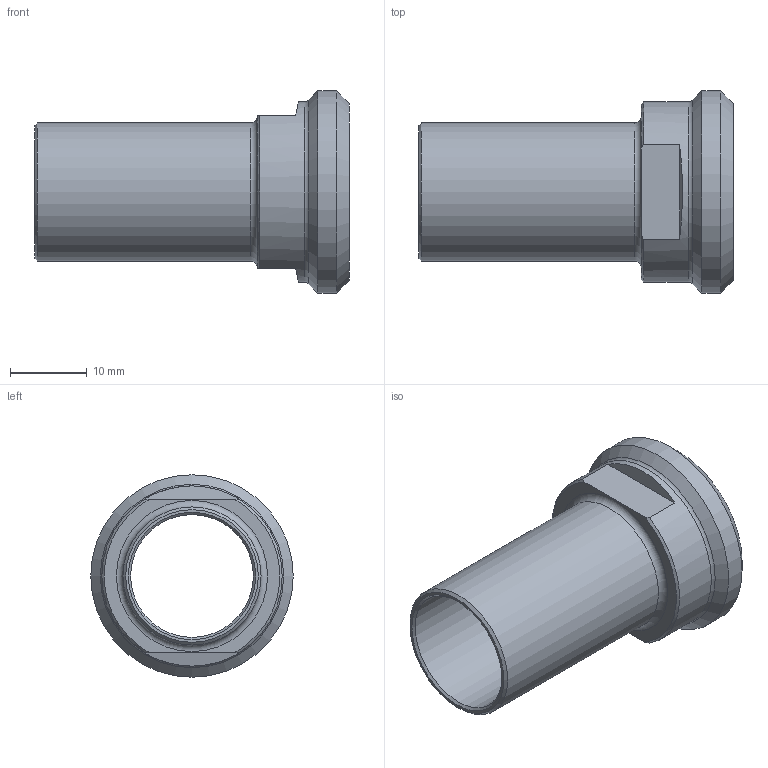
import cadquery as cq
import math

total_length = 41.0
bore_radius = 16.0 / 2
tube_radius = 18.0 / 2
neck_radius = 23.5 / 2
flange_radius = 26.4 / 2

tube_chamfer = 0.35
bore_chamfer = 0.3

neck_start = 29.0
neck_chamfer = 0.3
root_fillet = 0.85
flats_width = 20.0
flat_end = 34.0
flat_runout_angle = 12.0

cone_angle = 45.0
front_cone_end = 36.9
rear_cone_start = 39.35
neck_fillet = 0.7

cone_slope = math.tan(math.radians(cone_angle))
face_radius = flange_radius - (total_length - rear_cone_start) * cone_slope
cone_foot = front_cone_end - (flange_radius - neck_radius) / cone_slope


def bend_point(start_x, start_radius, bend_radius, angle):
    """Point on an outward bend that leaves a cylinder and has turned by angle degrees."""
    turned = math.radians(angle)
    return (
        start_x + bend_radius * math.sin(turned),
        start_radius + bend_radius * (1 - math.cos(turned)),
    )


def turned_body():
    """Revolve the outer and inner profile about the X axis."""
    quarter_turn = 90.0
    root_start = neck_start - root_fillet
    root_mid = bend_point(root_start, tube_radius, root_fillet, quarter_turn / 2)
    root_end = bend_point(root_start, tube_radius, root_fillet, quarter_turn)

    blend_start = cone_foot - neck_fillet * math.tan(math.radians(cone_angle / 2))
    blend_mid = bend_point(blend_start, neck_radius, neck_fillet, cone_angle / 2)
    blend_end = bend_point(blend_start, neck_radius, neck_fillet, cone_angle)

    profile = (
        cq.Workplane("XY")
        .moveTo(0, bore_radius + bore_chamfer)
        .lineTo(0, tube_radius - tube_chamfer)
        .lineTo(tube_chamfer, tube_radius)
        .lineTo(root_start, tube_radius)
        .threePointArc(root_mid, root_end)
        .lineTo(neck_start, neck_radius - neck_chamfer)
        .lineTo(neck_start + neck_chamfer, neck_radius)
        .lineTo(blend_start, neck_radius)
        .threePointArc(blend_mid, blend_end)
        .lineTo(front_cone_end, flange_radius)
        .lineTo(rear_cone_start, flange_radius)
        .lineTo(total_length, face_radius)
        .lineTo(total_length, bore_radius)
        .lineTo(bore_chamfer, bore_radius)
        .close()
    )
    return profile.revolve(360, (0, 0, 0), (1, 0, 0))


def flat_cutter(side):
    """Material removed for the wrench flat on the +Z (1) or -Z (-1) side."""
    flat_height = flats_width / 2
    runout = (flange_radius - flat_height) * math.tan(math.radians(flat_runout_angle))
    cutter_start = neck_start - root_fillet
    return (
        cq.Workplane("XZ")
        .moveTo(cutter_start, side * flat_height)
        .lineTo(flat_end, side * flat_height)
        .lineTo(flat_end + runout, side * flange_radius)
        .lineTo(cutter_start, side * flange_radius)
        .close()
        .extrude(flange_radius, both=True)
    )


result = turned_body()
for side in (1, -1):
    result = result.cut(flat_cutter(side))